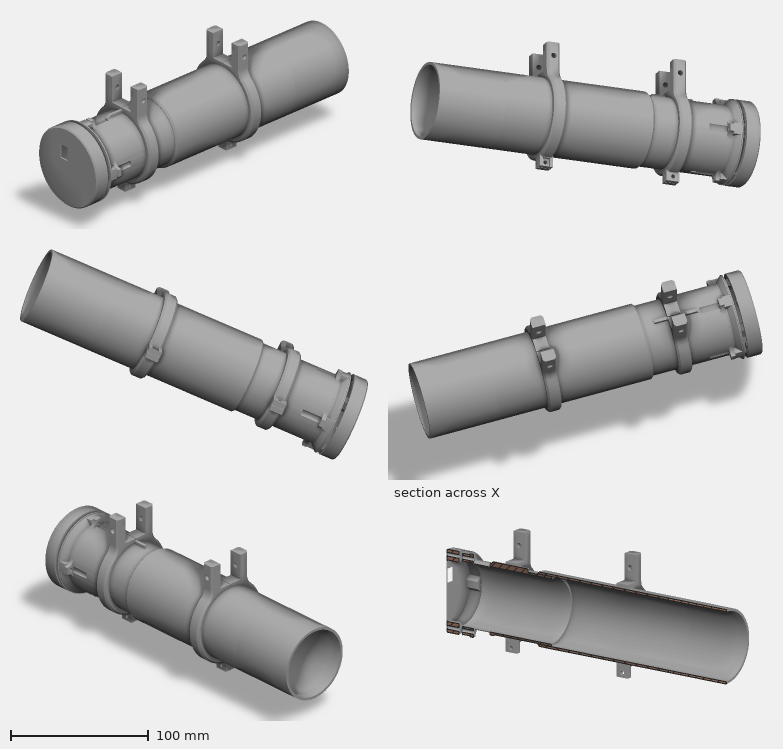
import cadquery as cq
import math


LENGTH = 251.0
BODY_RADIUS = 56.7 / 2
FOCUS_RADIUS = 26.3
FOCUS_BORE_RADIUS = 24.5
BODY_FRONT_Y = 81.5
BODY_CHAMFER = 1.5
REAR_TUBE_Y = 198.7
INSERTION = 12.5

SCREW_COUNT = 4
SCREW_RADIUS = 1.3
SCREW_CIRCLE_RADIUS = 27.5

SEAT_BACK_Y = 24.0
SEAT_HALF_WIDTH = 2.8
SEAT_FOOT_HALF_WIDTH = 6.8
SEAT_FLARE_RADIUS = 6.5
SEAT_TIP_HEIGHT = 0.8
GROOVE_RADIUS = 2.8
GROOVE_END_Y = 38.6

RAIL_WIDTH = 2.3
RAIL_TOP_Z = 28.9
RAIL_BACK_Y = 73.3
RAIL_RAMP = 3.0
STOP_LENGTH = 3.8
STOP_HEIGHT = 0.8

RING_FRONT_Y = 13.8
RING_BACK_Y = 20.8
RING_RADIUS = 31.5
RING_STEP_RADIUS = 30.9
RING_LIP = 0.8
RING_RIM = 1.5
RING_BAND = 1.5
RING_BLOCK_HALF_WIDTH = 4.3

CAP_LENGTH = 11.0
CAP_FACE = 1.0
CAP_CHAMFER = 1.0
CAP_CAVITY_RADIUS = 28.0
BOSS_INNER_RADIUS = 23.0
BOSS_INNER_HALF_WIDTH = 2.8
BOSS_BASE_HALF_WIDTH = 6.0
WINDOW_WIDTH = 7.3
WINDOW_HEIGHT = 11.0
WINDOW_X = -3.8
WINDOW_Z = 11.0

REAR_CLAMP_RADIUS = 65.0 / 2
FRONT_CLAMP_RADIUS = 61.7 / 2
CLAMP_WIDTH = 10.0
CLAMP_GAP = 0.5
CLAMP_CHAMFER = 1.5
REAR_CLAMP_Y = 157.3
FRONT_CLAMP_Y = 58.0
ARM_INNER_X = 10.0
ARM_OUTER_X = 18.3
ARM_TOP_Z = 51.7
ARM_FILLET = 10.0
ARM_HOLE_RADIUS = 2.0
ARM_HOLE_Z = 41.5
REAR_SADDLE_Z = 31.4
FRONT_SADDLE_Z = 30.5
LUG_OUTER_X = 4.3
REAR_LUG_BOTTOM_Z = -39.5
FRONT_LUG_BOTTOM_Z = -37.5
LUG_HOLE_RADIUS = 1.5
LUG_HOLE_RISE = 3.5
NUT_WIDTH = 5.3
NUT_HEIGHT = 6.3
NUT_DEPTH = 2.0


def rod(radius, y_front, y_back, x=0, z=0):
    """Cylinder along Y."""
    return cq.Workplane("XZ", origin=(x, y_back, z)).circle(radius).extrude(y_back - y_front)


def box(x_min, x_max, y_min, y_max, z_min, z_max):
    size = (x_max - x_min, y_max - y_min, z_max - z_min)
    return cq.Workplane("XY").box(*size, centered=False).translate((x_min, y_min, z_min))


def around_axis(shape):
    """Copies of a shape at equal angles about the Y axis."""
    step = 360 / SCREW_COUNT
    return [shape.rotate((0, 0, 0), (0, 1, 0), i * step) for i in range(SCREW_COUNT)]


def cut_screw_holes(body, y_front, y_back):
    for hole in around_axis(rod(SCREW_RADIUS, y_front, y_back, z=SCREW_CIRCLE_RADIUS)):
        body = body.cut(hole)
    return body


def make_rear_tube():
    return rod(BODY_RADIUS, REAR_TUBE_Y, LENGTH).cut(rod(FOCUS_RADIUS, REAR_TUBE_Y, LENGTH))


def make_body_tube():
    tube = rod(BODY_RADIUS, BODY_FRONT_Y, REAR_TUBE_Y).faces("<Y").chamfer(BODY_CHAMFER)
    return tube.cut(rod(FOCUS_RADIUS, BODY_FRONT_Y, REAR_TUBE_Y))


def make_rail():
    """Straight rail with a ramp at its front end."""
    outline = [
        (GROOVE_END_Y, FOCUS_BORE_RADIUS),
        (RAIL_BACK_Y, FOCUS_BORE_RADIUS),
        (RAIL_BACK_Y, RAIL_TOP_Z),
        (GROOVE_END_Y + RAIL_RAMP, RAIL_TOP_Z),
        (GROOVE_END_Y, FOCUS_RADIUS),
    ]
    profile = cq.Workplane("YZ", origin=(-RAIL_WIDTH / 2, 0, 0)).polyline(outline).close()
    return profile.extrude(RAIL_WIDTH)


def make_stop():
    half = RAIL_WIDTH / 2
    bottom = -FOCUS_RADIUS - STOP_HEIGHT
    return box(-half, half, GROOVE_END_Y, GROOVE_END_Y + STOP_LENGTH, bottom, -FOCUS_BORE_RADIUS)


def make_seat():
    """Raised pad whose sides flare out into the tube."""
    foot_z = math.sqrt(FOCUS_RADIUS**2 - SEAT_FOOT_HALF_WIDTH**2)
    tip_z = RING_RADIUS - SEAT_TIP_HEIGHT
    profile = (
        cq.Workplane("XZ", origin=(0, SEAT_BACK_Y, 0))
        .moveTo(-SEAT_FOOT_HALF_WIDTH, foot_z)
        .radiusArc((-SEAT_HALF_WIDTH, tip_z), -SEAT_FLARE_RADIUS)
        .lineTo(-SEAT_HALF_WIDTH, RING_RADIUS)
        .lineTo(SEAT_HALF_WIDTH, RING_RADIUS)
        .lineTo(SEAT_HALF_WIDTH, tip_z)
        .radiusArc((SEAT_FOOT_HALF_WIDTH, foot_z), -SEAT_FLARE_RADIUS)
        .lineTo(SEAT_FOOT_HALF_WIDTH, FOCUS_BORE_RADIUS)
        .lineTo(-SEAT_FOOT_HALF_WIDTH, FOCUS_BORE_RADIUS)
        .close()
    )
    return profile.extrude(SEAT_BACK_Y - RING_BACK_Y)


def make_focus_tube():
    back_y = BODY_FRONT_Y + INSERTION
    tube = rod(FOCUS_RADIUS, RING_BACK_Y, back_y).union(make_rail()).union(make_stop())
    for seat in around_axis(make_seat()):
        tube = tube.union(seat)
    tube = tube.cut(rod(FOCUS_BORE_RADIUS, RING_BACK_Y, back_y))
    for groove in around_axis(rod(GROOVE_RADIUS, SEAT_BACK_Y, GROOVE_END_Y, z=SCREW_CIRCLE_RADIUS)):
        tube = tube.cut(groove)
    return cut_screw_holes(tube, RING_BACK_Y, SEAT_BACK_Y)


def make_ring():
    """Stepped ring with a conical back, left full-width at the screw blocks."""
    ring = rod(RING_STEP_RADIUS, RING_FRONT_Y, RING_BACK_Y)
    ring = ring.union(rod(RING_RADIUS, RING_FRONT_Y, RING_FRONT_Y + RING_LIP))
    beyond = RING_RADIUS + 2.5
    rim_y = RING_FRONT_Y + RING_RIM
    outline = [
        (FOCUS_RADIUS, RING_BACK_Y),
        (FOCUS_RADIUS, RING_BACK_Y - RING_BAND),
        (RING_STEP_RADIUS, rim_y),
        (beyond, rim_y),
        (beyond, RING_BACK_Y),
    ]
    cone_cut = cq.Workplane("XY").polyline(outline).close().revolve(360, (0, 0, 0), (0, 1, 0))
    block = RING_BLOCK_HALF_WIDTH
    for x, z in ((block, beyond), (beyond, block)):
        cone_cut = cone_cut.cut(box(-x, x, RING_FRONT_Y, RING_BACK_Y, -z, z))
    ring = ring.cut(cone_cut).cut(rod(FOCUS_BORE_RADIUS, RING_FRONT_Y, RING_BACK_Y))
    return cut_screw_holes(ring, RING_FRONT_Y, RING_BACK_Y)


def make_cap_boss():
    outline = [
        (-BOSS_INNER_HALF_WIDTH, BOSS_INNER_RADIUS),
        (BOSS_INNER_HALF_WIDTH, BOSS_INNER_RADIUS),
        (BOSS_BASE_HALF_WIDTH, CAP_CAVITY_RADIUS),
        (-BOSS_BASE_HALF_WIDTH, CAP_CAVITY_RADIUS),
    ]
    profile = cq.Workplane("XZ", origin=(0, CAP_LENGTH, 0)).polyline(outline).close()
    return profile.extrude(CAP_LENGTH - CAP_FACE)


def make_cap():
    """Cup with a thin face, a window in the face and screw bosses inside."""
    cap = rod(RING_RADIUS, 0, CAP_LENGTH).faces("<Y").chamfer(CAP_CHAMFER)
    cavity = rod(CAP_CAVITY_RADIUS, CAP_FACE, CAP_LENGTH)
    for boss in around_axis(make_cap_boss()):
        cavity = cavity.cut(boss)
    cap = cut_screw_holes(cap.cut(cavity), CAP_FACE, CAP_LENGTH)
    window = cq.Workplane("XY").box(WINDOW_WIDTH, 2 * CAP_FACE, WINDOW_HEIGHT)
    return cap.cut(window.translate((WINDOW_X, 0, WINDOW_Z)))


def make_clamp_half(bore_radius, outer_radius, center_y, saddle_z, lug_bottom_z):
    """The half of a split clamp on the +X side."""
    front_y = center_y - CLAMP_WIDTH / 2
    back_y = center_y + CLAMP_WIDTH / 2
    split_x = CLAMP_GAP / 2

    reach = outer_radius + ARM_FILLET
    fillet_x = ARM_OUTER_X + ARM_FILLET
    fillet_z = math.sqrt(reach**2 - fillet_x**2)
    tangent = (fillet_x * outer_radius / reach, fillet_z * outer_radius / reach)
    half = (
        cq.Workplane("XZ", origin=(0, back_y, 0))
        .moveTo(split_x, saddle_z)
        .lineTo(ARM_INNER_X, saddle_z)
        .lineTo(ARM_INNER_X, ARM_TOP_Z)
        .lineTo(ARM_OUTER_X, ARM_TOP_Z)
        .lineTo(ARM_OUTER_X, fillet_z)
        .radiusArc(tangent, -ARM_FILLET)
        .threePointArc((outer_radius, 0), (split_x, -math.sqrt(outer_radius**2 - split_x**2)))
        .close()
        .extrude(CLAMP_WIDTH)
    )

    arm_middle_x = (ARM_INNER_X + ARM_OUTER_X) / 2
    outside = cq.selectors.BoxSelector(
        (arm_middle_x + CLAMP_CHAMFER, front_y - CLAMP_WIDTH, -outer_radius),
        (outer_radius, back_y + CLAMP_WIDTH, ARM_TOP_Z),
    )
    half = half.faces("<Y or >Y").edges(outside).chamfer(CLAMP_CHAMFER)

    half = half.union(box(split_x, LUG_OUTER_X, front_y, back_y, lug_bottom_z, -bore_radius))
    half = half.cut(rod(bore_radius, front_y, back_y))
    lug_hole_z = lug_bottom_z + LUG_HOLE_RISE
    for radius, z in ((ARM_HOLE_RADIUS, ARM_HOLE_Z), (LUG_HOLE_RADIUS, lug_hole_z)):
        half = half.cut(cq.Workplane("YZ", origin=(0, center_y, z)).circle(radius).extrude(outer_radius))
    return half


def cut_nut_recess(clamp_half):
    """Recess around the bolt hole on the -X side of the rear lug."""
    recess = cq.Workplane("XY").box(2 * NUT_DEPTH, NUT_WIDTH, NUT_HEIGHT)
    bolt_z = REAR_LUG_BOTTOM_Z + LUG_HOLE_RISE
    return clamp_half.cut(recess.translate((-LUG_OUTER_X, REAR_CLAMP_Y, bolt_z)))


rear_tube = make_rear_tube()
body_tube = make_body_tube()
focus_tube = make_focus_tube()
ring = make_ring()
cap = make_cap()

rear_clamp_right = make_clamp_half(
    BODY_RADIUS, REAR_CLAMP_RADIUS, REAR_CLAMP_Y, REAR_SADDLE_Z, REAR_LUG_BOTTOM_Z
)
rear_clamp_left = cut_nut_recess(rear_clamp_right.mirror("YZ"))
plain_front_half = make_clamp_half(
    FOCUS_RADIUS, FRONT_CLAMP_RADIUS, FRONT_CLAMP_Y, FRONT_SADDLE_Z, FRONT_LUG_BOTTOM_Z
)
front_clamp_right = plain_front_half.cut(make_rail())
front_clamp_left = front_clamp_right.mirror("YZ")

result = cq.Compound.makeCompound(
    [
        rear_tube.val(),
        body_tube.val(),
        focus_tube.val(),
        ring.val(),
        cap.val(),
        rear_clamp_right.val(),
        rear_clamp_left.val(),
        front_clamp_right.val(),
        front_clamp_left.val(),
    ]
)